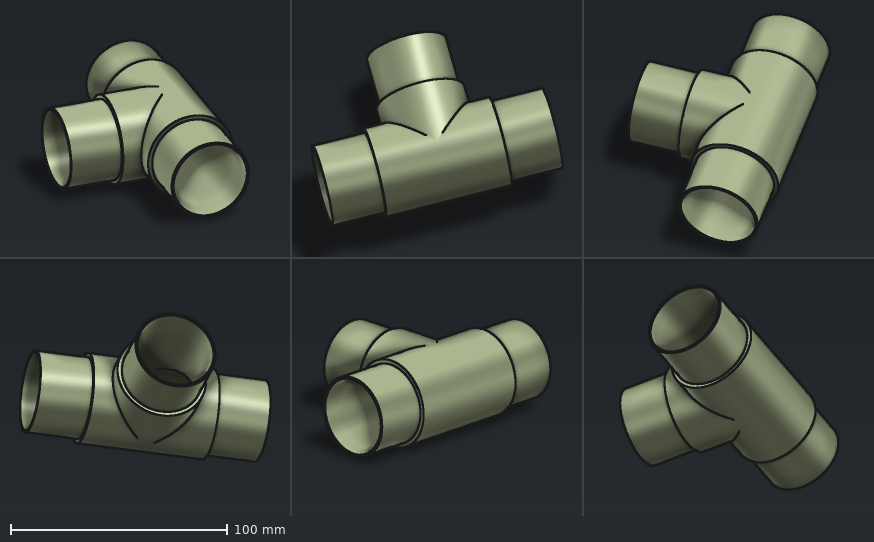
import cadquery as cq

run_length = 110.0
spigot_length = 25.0
body_diameter = 42.4
spigot_diameter = 38.3
bore_diameter = 36.4

end_reach = run_length / 2
body_reach = end_reach - spigot_length


def run_cylinder(diameter, reach):
    """Cylinder along X, centred on the axis crossing."""
    return cq.Workplane("YZ").circle(diameter / 2).extrude(reach, both=True)


def branch_cylinder(diameter, reach):
    """Cylinder from the axis crossing towards -Y."""
    return cq.Workplane("XZ").circle(diameter / 2).extrude(reach)


def tee(diameter, reach):
    """Straight run and side branch of equal diameter and reach."""
    return run_cylinder(diameter, reach).union(branch_cylinder(diameter, reach))


body = tee(body_diameter, body_reach)
spigots = tee(spigot_diameter, end_reach)

bore = tee(bore_diameter, end_reach)

result = body.union(spigots).cut(bore)